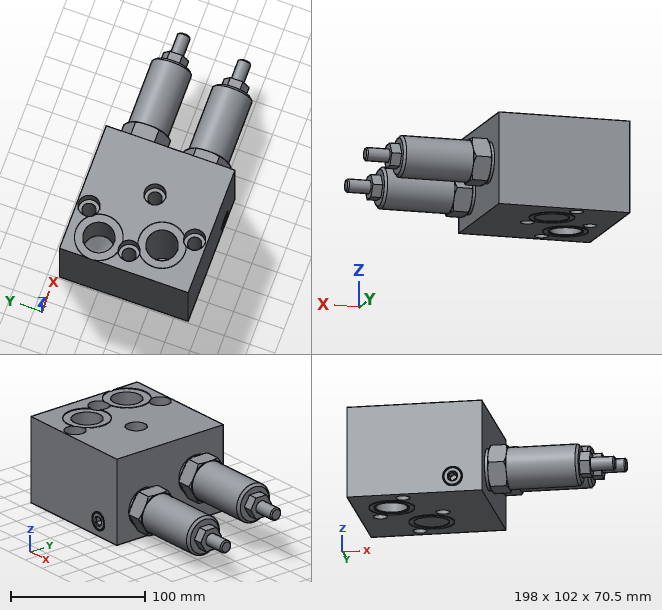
import cadquery as cq
import math

BLOCK_SIDE = 102.0
BLOCK_HEIGHT = 70.0

PORT_DIAMETER = 24.0
SPOTFACE_DIAMETER = 36.2
SPOTFACE_DEPTH = 0.5
THROUGH_PORT = (28.3, -20.0)
BLIND_PORT = (18.0, 26.3)
BLIND_PORT_DEPTH = 33.7
DRILL_POINT_ANGLE = 118.0

SCREW_HOLE_DIAMETER = 10.5
COUNTERBORE_DIAMETER = 16.5
COUNTERBORE_DEPTH = 10.0
SCREW_HOLES = [(38.6, 41.5), (15.8, 1.5), (63.8, -1.5), (40.5, -41.4)]

RING_OUTER_DIAMETER = 34.0
RING_INNER_DIAMETER = 26.5
RING_PROTRUSION = 0.5
RING_CENTRES = [THROUGH_PORT, (51.3, 20.0)]

PLUG_X = 79.8
PLUG_Z = 12.0
PLUG_BORE_DIAMETER = 14.8
PLUG_DIAMETER = 14.0
PLUG_FACE_DIAMETER = 12.9
PLUG_GAP_DEPTH = 1.0
SOCKET_RIM_DIAMETER = 7.7
SOCKET_ACROSS_FLATS = 6.0
SOCKET_DEPTH = 8.0
HEX_TURN = 30

CARTRIDGE_AXES = [(-24.0, 24.0), (24.0, 37.2)]
BODY_DIAMETER = 31.5
BODY_END = 172.5
BODY_CHAMFER = 2.0
HEX_START = 104.3
HEX_END = 118.2
HEX_ACROSS_FLATS = 32.0
HEX_CHAMFER_RADIAL = 2.0
HEX_CHAMFER_AXIAL = 1.2
NUT_END = 180.2
NUT_ACROSS_FLATS = 17.2
STEM_DIAMETER = 10.0
STEM_END = 198.0
STEM_CHAMFER = 1.0


def across_corners(across_flats):
    return across_flats / math.cos(math.pi / 6)


def round_bar(start, end, diameter):
    """Cylinder on the X axis from start to end."""
    return cq.Workplane("YZ", origin=(start, 0, 0)).circle(diameter / 2).extrude(end - start)


def hex_bar(start, end, across_flats):
    """Hexagonal bar on the X axis with flats facing up and down."""
    outline = cq.Workplane("YZ", origin=(start, 0, 0)).polygon(6, across_corners(across_flats))
    return outline.extrude(end - start)


def vertical_cylinder(centre, bottom, top, diameter):
    return cq.Workplane("XY", origin=(*centre, bottom)).circle(diameter / 2).extrude(top - bottom)


def port(centre, bottom):
    """Cutter for a top port and its spotface."""
    bore = vertical_cylinder(centre, bottom, BLOCK_HEIGHT, PORT_DIAMETER)
    spotface_floor = BLOCK_HEIGHT - SPOTFACE_DEPTH
    return bore.union(vertical_cylinder(centre, spotface_floor, BLOCK_HEIGHT, SPOTFACE_DIAMETER))


def drill_point(centre, top):
    """Conical hole bottom below the given height."""
    radius = PORT_DIAMETER / 2
    depth = radius / math.tan(math.radians(DRILL_POINT_ANGLE / 2))
    cone = cq.Solid.makeCone(radius, 0, depth, pnt=cq.Vector(*centre, top), dir=cq.Vector(0, 0, -1))
    return cq.Workplane(obj=cone)


def screw_hole(centre):
    """Cutter for a counterbored through hole."""
    bore = vertical_cylinder(centre, 0, BLOCK_HEIGHT, SCREW_HOLE_DIAMETER)
    seat = BLOCK_HEIGHT - COUNTERBORE_DEPTH
    return bore.union(vertical_cylinder(centre, seat, BLOCK_HEIGHT, COUNTERBORE_DIAMETER))


def seal_ring(centre):
    """Flat ring standing proud of the bottom face."""
    face = cq.Workplane("XY", origin=(*centre, 0))
    ring = face.circle(RING_OUTER_DIAMETER / 2).circle(RING_INNER_DIAMETER / 2)
    return ring.extrude(-RING_PROTRUSION)


def plug_cone(face_diameter, inner_diameter, depth):
    """Round frustum reaching inward from the front face at the plug centre."""
    inward = cq.Vector(0, 1, 0)
    centre = cq.Vector(PLUG_X, -BLOCK_SIDE / 2, PLUG_Z)
    cone = cq.Solid.makeCone(face_diameter / 2, inner_diameter / 2, depth, pnt=centre, dir=inward)
    return cq.Workplane(obj=cone)


def plug_recess():
    """Cutter for the gap around the tapered plug edge and for its hexagon socket."""
    face = cq.Workplane("XZ", origin=(PLUG_X, -BLOCK_SIDE / 2, PLUG_Z))
    bore = face.circle(PLUG_BORE_DIAMETER / 2).extrude(-PLUG_GAP_DEPTH)
    gap = bore.cut(plug_cone(PLUG_FACE_DIAMETER, PLUG_DIAMETER, PLUG_GAP_DEPTH))
    upright = face.transformed(rotate=(0, 0, HEX_TURN))
    socket = upright.polygon(6, across_corners(SOCKET_ACROSS_FLATS)).extrude(-SOCKET_DEPTH)
    countersink_depth = (SOCKET_RIM_DIAMETER - SOCKET_ACROSS_FLATS) / 2
    countersink = plug_cone(SOCKET_RIM_DIAMETER, SOCKET_ACROSS_FLATS, countersink_depth)
    return gap.union(socket).union(countersink)


def chamfered_hex():
    """Large wrench hexagon with its corners turned down at both ends."""
    corner_diameter = across_corners(HEX_ACROSS_FLATS)
    envelope = round_bar(HEX_START, HEX_END, corner_diameter)
    envelope = envelope.faces("<X or >X").chamfer(HEX_CHAMFER_AXIAL, HEX_CHAMFER_RADIAL)
    return hex_bar(HEX_START, HEX_END, HEX_ACROSS_FLATS).intersect(envelope)


def cartridge(axis):
    body = round_bar(BLOCK_SIDE, BODY_END, BODY_DIAMETER).faces(">X").chamfer(BODY_CHAMFER)
    nut = hex_bar(BODY_END, NUT_END, NUT_ACROSS_FLATS)
    stem = round_bar(NUT_END, STEM_END, STEM_DIAMETER).faces(">X").chamfer(STEM_CHAMFER)
    return body.union(chamfered_hex()).union(nut).union(stem).translate((0, *axis))


result = cq.Workplane("XY").box(BLOCK_SIDE, BLOCK_SIDE, BLOCK_HEIGHT, centered=(False, True, False))

for ring_centre in RING_CENTRES:
    result = result.union(seal_ring(ring_centre))

blind_port_floor = BLOCK_HEIGHT - BLIND_PORT_DEPTH
result = result.cut(port(THROUGH_PORT, 0))
result = result.cut(port(BLIND_PORT, blind_port_floor))
result = result.cut(drill_point(BLIND_PORT, blind_port_floor))

for hole_centre in SCREW_HOLES:
    result = result.cut(screw_hole(hole_centre))

result = result.cut(plug_recess())

for cartridge_axis in CARTRIDGE_AXES:
    result = result.union(cartridge(cartridge_axis))